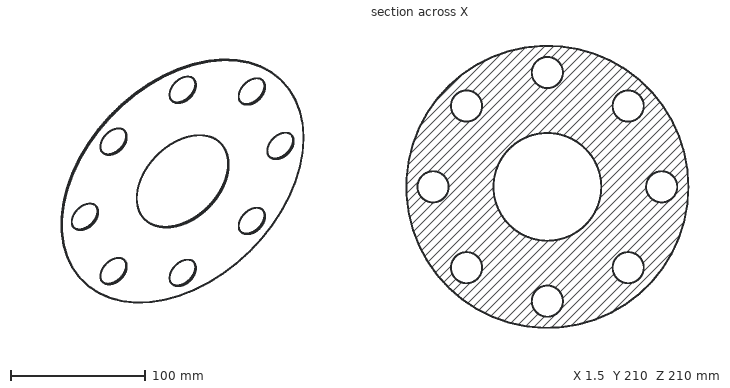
import cadquery as cq

thickness = 1.5
outer_diameter = 210.0
bore_diameter = 80.0

bolt_circle_diameter = 170.0
bolt_hole_diameter = 23.0
bolt_hole_count = 8


def make_ring():
    """Flat disc with the central bore."""
    return (
        cq.Workplane("YZ")
        .circle(outer_diameter / 2)
        .circle(bore_diameter / 2)
        .extrude(thickness)
    )


def make_bolt_holes():
    """Cylinders that cut the circle of bolt holes through the ring."""
    return (
        cq.Workplane("YZ")
        .polarArray(bolt_circle_diameter / 2, 0, 360, bolt_hole_count)
        .circle(bolt_hole_diameter / 2)
        .extrude(thickness)
    )


result = make_ring().cut(make_bolt_holes())